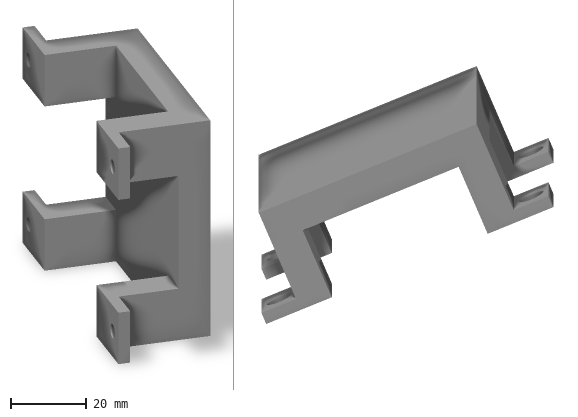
import cadquery as cq

total_length = 83.0
total_depth = 29.0
plate_side = 63.0

wall = 9.0
foot_height = 15.0
ear_thickness = 3.3
hole_diameter = 4.0
sink_diameter = 7.1
sink_angle = 60.0

ear_length = (total_length - plate_side) / 2
hole_x = (total_length - ear_length) / 2
foot_z = (plate_side - foot_height) / 2
front_y = -total_depth / 2
plate_y = (total_depth - wall) / 2


def make_foot(side, z):
    """Leg reaching forward from the plate, with a countersunk ear pointing outward; side is -1 or 1."""
    leg = (
        cq.Workplane("XY")
        .box(wall, total_depth, foot_height)
        .translate((side * (plate_side - wall) / 2, 0, z))
    )
    ear = (
        cq.Workplane("XY")
        .box(ear_length, ear_thickness, foot_height)
        .faces(">Y")
        .workplane(centerOption="CenterOfMass")
        .cskHole(hole_diameter, sink_diameter, sink_angle)
        .translate((side * hole_x, front_y + ear_thickness / 2, z))
    )
    return leg.union(ear)


result = cq.Workplane("XY").box(plate_side, wall, plate_side).translate((0, plate_y, 0))
for side in (-1, 1):
    for z in (-foot_z, foot_z):
        result = result.union(make_foot(side, z))